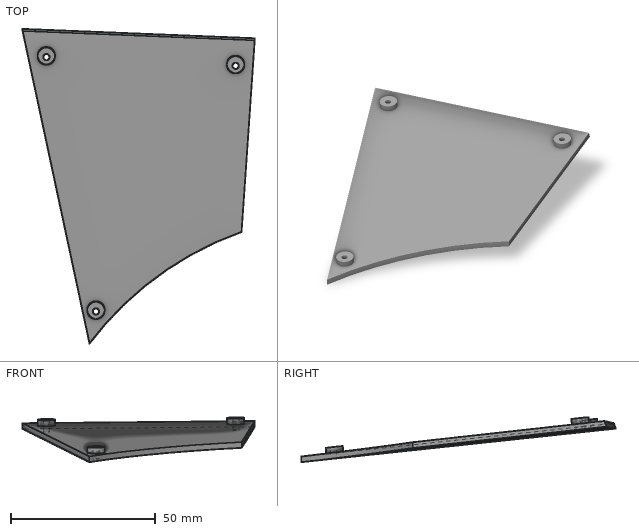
import cadquery as cq
import math

TIP = (0.0, 0.0)
BACK_LEFT = (-23.25, 108.59)
BACK_RIGHT = (57.08, 105.35)
FRONT_RIGHT = (52.5, 38.5)
ARC_SAGITTA = 4.8

SLOPE_X = 0.0137
SLOPE_Y = 0.1097
THICKNESS = 2.0
BACK_BEVEL = 0.8

BOSS_DIAMETER = 6.0
BOSS_HEIGHT = 2.0
HOLE_DIAMETER = 2.08
HOLE_SETBACK = 0.55
BOSS_CENTERS = [(2.25, 11.65), (-14.85, 99.35), (50.4, 96.35)]

NORMAL = cq.Vector(-SLOPE_X, -SLOPE_Y, 1.0).normalized()
RISE = THICKNESS / NORMAL.z
OVERSIZE = 200.0


def bottom_height(x, y):
    """Z of the sloped bottom face."""
    return SLOPE_X * x + SLOPE_Y * y


def front_arc_middle():
    """Middle point of the concave front edge."""
    dx = FRONT_RIGHT[0] - TIP[0]
    dy = FRONT_RIGHT[1] - TIP[1]
    chord = math.hypot(dx, dy)
    middle_x = TIP[0] + dx / 2 - ARC_SAGITTA * dy / chord
    middle_y = TIP[1] + dy / 2 + ARC_SAGITTA * dx / chord
    return (middle_x, middle_y)


def make_plate():
    """Sloped slab trimmed by the vertical walls of the footprint."""
    footprint = (
        cq.Workplane("XY", origin=(0, 0, -OVERSIZE / 2))
        .moveTo(*TIP)
        .lineTo(*BACK_LEFT)
        .lineTo(*BACK_RIGHT)
        .lineTo(*FRONT_RIGHT)
        .threePointArc(front_arc_middle(), TIP)
        .close()
        .extrude(OVERSIZE)
    )
    slope_plane = cq.Plane(origin=(0, 0, 0), xDir=(1, 0, SLOPE_X), normal=NORMAL)
    slab = cq.Workplane(slope_plane).rect(2 * OVERSIZE, 2 * OVERSIZE).extrude(THICKNESS)
    return footprint.intersect(slab)


def make_back_bevel_cutter():
    """Body behind the slanted back edge, which leans inwards towards the top."""
    bottom_left = cq.Vector(*BACK_LEFT, bottom_height(*BACK_LEFT))
    bottom_right = cq.Vector(*BACK_RIGHT, bottom_height(*BACK_RIGHT))
    along = (bottom_right - bottom_left).normalized()
    outward = cq.Vector(-along.y, along.x, 0).normalized()
    lean = cq.Vector(0, 0, RISE) - outward * BACK_BEVEL
    bevel_plane = cq.Plane(origin=bottom_left, xDir=along, normal=along.cross(lean) * -1)
    return cq.Workplane(bevel_plane).rect(2 * OVERSIZE, 2 * OVERSIZE).extrude(OVERSIZE)


def make_boss(center):
    """Boss square to the slope, rooted halfway down the plate."""
    x, y = center
    surface_point = cq.Vector(x, y, bottom_height(x, y) + RISE)
    root = surface_point - NORMAL * (THICKNESS / 2)
    boss_plane = cq.Plane(origin=root, normal=NORMAL)
    return cq.Workplane(boss_plane).circle(BOSS_DIAMETER / 2).extrude(THICKNESS / 2 + BOSS_HEIGHT)


def make_hole(center):
    """Vertical through hole, set slightly forward of the boss foot."""
    x, y = center
    drill_start = cq.Workplane("XY", origin=(x, y - HOLE_SETBACK, -OVERSIZE / 2))
    return drill_start.circle(HOLE_DIAMETER / 2).extrude(OVERSIZE)


result = make_plate().cut(make_back_bevel_cutter())
for boss_center in BOSS_CENTERS:
    result = result.union(make_boss(boss_center))
for boss_center in BOSS_CENTERS:
    result = result.cut(make_hole(boss_center))